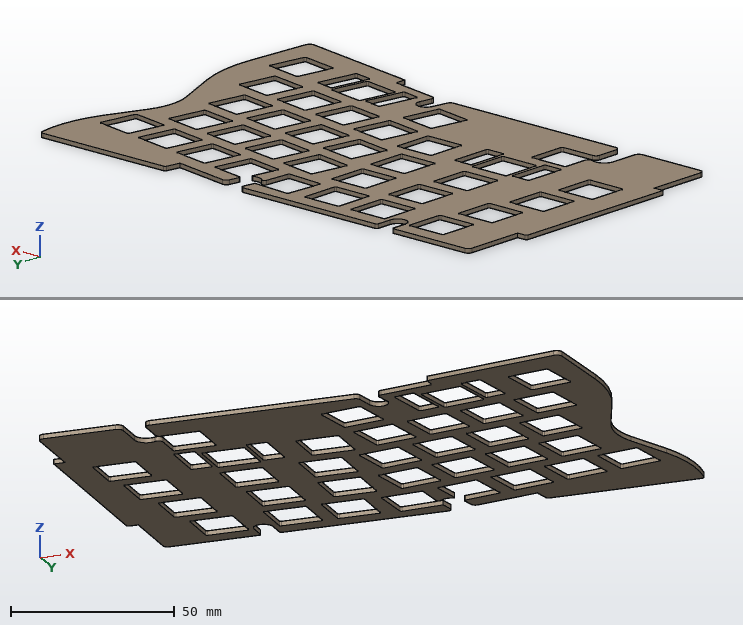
import cadquery as cq
import math


width = 182.7
depth = 122.5
thickness = 1.5
side_tab_depth = 3.7
side_tab_bottom = 38.2
side_tab_top = 100.1
straight_bottom = 15.3

key_row_span = 76.4
pitch = key_row_span / 4
key_size = 14.0
half_key = key_size / 2
key_corner = 0.5
stabilizer_width = 7.0
stabilizer_height = 15.0
stabilizer_offset = 11.9
stabilizer_drop = 1.6

top_row_y = 109.6
straight_rows = [
    [26.5, 50.6, 69.6],
    [23.5, 52.5, 75.8],
    [19.7, 51.2, 77.1],
    [17.0, 52.6, 83.5],
]
open_straight_key = (45.5, top_row_y - 4 * pitch)
straight_stabilized_key = (straight_rows[3][1], top_row_y - 3 * pitch)

leaning_key = (89.4, 110.0)
leaning_angle = -4.0

tilt = -10.0
tilt_origin = (109.3, 106.9)
tilted_rows = [
    [1, 2, 3],
    [-0.5, 0.5, 1.5, 2.5],
    [-0.25, 0.75, 1.75, 2.75],
    [0.25, 1.25, 2.25, 3.25],
    [0.25, 2.125, 3.75],
]
tilted_stabilized_key = (tilted_rows[4][1] * pitch, -4 * pitch)
tilted_arm_top = 13.0
tilted_step_u = 16.6
tilted_upper_bottom = -89.4
tilted_lower_bottom = -93.2
bottom_step_x = 134.1

flank_angle = 22.5
lower_bulge_center = (131.5, 29.0)
lower_bulge_radius = width - lower_bulge_center[0]
lower_bulge_start_angle = -4.5
hollow_center = (192.2, 73.8)
hollow_radius = 22.0
upper_bulge_center = (137.6, 113.3)
upper_bulge_radius = 43.9

narrow_notch = 6.2
wide_notch = 7.5
top_notch_x = 38.4
top_notch_end = 113.3
upper_hook_u = -9.9
upper_hook_end = 3.0
post_top = 3.3
bottom_notch_u = 18.3
bottom_notch_end = -80.2
notch_overrun = 14.6

outer_corner = 1.5
wide_corner = 1.8
small_corner = 0.7


def from_local(origin, degrees, u, v):
    """Plate position of a point given in axes turned about an origin."""
    angle = math.radians(degrees)
    x = origin[0] + u * math.cos(angle) - v * math.sin(angle)
    y = origin[1] + u * math.sin(angle) + v * math.cos(angle)
    return (x, y)


def tilted(u, v):
    """Plate position of a point given in the tilted block's own axes."""
    return from_local(tilt_origin, tilt, u, v)


def row_at_x(x, v):
    """Point at a given X on the tilted line of constant v."""
    angle = math.radians(tilt)
    u = (x - tilt_origin[0] + v * math.sin(angle)) / math.cos(angle)
    return tilted(u, v)


def column_at_y(u, y):
    """Point at a given Y on the tilted line of constant u."""
    angle = math.radians(tilt)
    v = (y - tilt_origin[1] - u * math.sin(angle)) / math.cos(angle)
    return tilted(u, v)


def on_circle(center, radius, degrees):
    angle = math.radians(degrees)
    return (center[0] + radius * math.cos(angle), center[1] + radius * math.sin(angle))


def placed(tool, position, angle):
    return tool.rotate((0, 0, 0), (0, 0, 1), angle).translate((position[0], position[1], 0))


def opening(position, angle, size_x, size_y):
    box = cq.Workplane("XY").rect(size_x, size_y).extrude(thickness)
    return placed(box.edges("|Z").fillet(key_corner), position, angle)


def open_key(position, angle, kept_corners):
    """Key that a notch opens: only the corners listed as (side along X, side along Y) are rounded."""
    box = cq.Workplane("XY").rect(key_size, key_size).extrude(thickness)
    for side_x, side_y in kept_corners:
        corner = (side_x * half_key, side_y * half_key, thickness / 2)
        box = box.edges("|Z").edges(cq.NearestToPointSelector(corner)).fillet(key_corner)
    return placed(box, position, angle)


def notch(position, angle, notch_width):
    """Round-ended notch whose closed end is at the position and which opens downward."""
    radius = notch_width / 2
    tool = (
        cq.Workplane("XY")
        .moveTo(-radius, -notch_overrun)
        .lineTo(-radius, -radius)
        .threePointArc((0, 0), (radius, -radius))
        .lineTo(radius, -notch_overrun)
        .close()
        .extrude(thickness)
    )
    return placed(tool, position, angle)


upper_bulge_end_angle = math.degrees(math.asin((depth - upper_bulge_center[1]) / upper_bulge_radius))
lower_bulge_start = on_circle(lower_bulge_center, lower_bulge_radius, lower_bulge_start_angle)
lower_bulge_slope = math.tan(math.radians(lower_bulge_start_angle))
top_right = on_circle(upper_bulge_center, upper_bulge_radius, upper_bulge_end_angle)
bottom_right_x = lower_bulge_start[0] + lower_bulge_start[1] * lower_bulge_slope
bottom_right = row_at_x(bottom_right_x, tilted_lower_bottom)
step_bottom = row_at_x(bottom_step_x, tilted_lower_bottom)
step_top = row_at_x(bottom_step_x, tilted_upper_bottom)
bottom_bend_end = tilted(bottom_notch_u, tilted_upper_bottom)
bottom_bend_start = (bottom_bend_end[0], straight_bottom)
arm_inner = tilted(tilted_step_u, tilted_arm_top)
arm_outer = tilted(upper_hook_u, tilted_arm_top)
arm_step_top = column_at_y(tilted_step_u, depth)
hook_top = (arm_outer[0], depth)

plate = (
    cq.Workplane("XY")
    .moveTo(side_tab_depth, straight_bottom)
    .lineTo(*bottom_bend_start)
    .lineTo(*bottom_bend_end)
    .lineTo(*step_top)
    .lineTo(*step_bottom)
    .lineTo(*bottom_right)
    .lineTo(*lower_bulge_start)
    .threePointArc(
        on_circle(lower_bulge_center, lower_bulge_radius, 0),
        on_circle(lower_bulge_center, lower_bulge_radius, flank_angle),
    )
    .lineTo(*on_circle(hollow_center, hollow_radius, 180 + flank_angle))
    .threePointArc(
        on_circle(hollow_center, hollow_radius, 180),
        on_circle(hollow_center, hollow_radius, 180 - flank_angle),
    )
    .lineTo(*on_circle(upper_bulge_center, upper_bulge_radius, -flank_angle))
    .threePointArc(on_circle(upper_bulge_center, upper_bulge_radius, 0), top_right)
    .lineTo(*arm_step_top)
    .lineTo(*arm_inner)
    .lineTo(*arm_outer)
    .lineTo(*hook_top)
    .lineTo(side_tab_depth, depth)
    .lineTo(side_tab_depth, side_tab_top)
    .lineTo(0, side_tab_top)
    .lineTo(0, side_tab_bottom)
    .lineTo(side_tab_depth, side_tab_bottom)
    .close()
    .extrude(thickness)
)

for row, positions in enumerate(straight_rows):
    for key_x in positions:
        plate = plate.cut(opening((key_x, top_row_y - row * pitch), 0, key_size, key_size))
for row, positions in enumerate(tilted_rows):
    for key_u in positions:
        plate = plate.cut(opening(tilted(key_u * pitch, -row * pitch), tilt, key_size, key_size))
plate = plate.cut(open_key(open_straight_key, 0, [(-1, 1), (1, 1), (1, -1)]))
plate = plate.cut(open_key(leaning_key, leaning_angle, [(-1, 1), (-1, -1), (1, -1)]))
plate = plate.cut(open_key(tilt_origin, tilt, [(-1, -1), (1, -1), (1, 1)]))

for side in (-1, 1):
    straight_slot = (
        straight_stabilized_key[0] + side * stabilizer_offset,
        straight_stabilized_key[1] - stabilizer_drop,
    )
    tilted_slot = tilted(
        tilted_stabilized_key[0] + side * stabilizer_offset,
        tilted_stabilized_key[1] - stabilizer_drop,
    )
    plate = plate.cut(opening(straight_slot, 0, stabilizer_width, stabilizer_height))
    plate = plate.cut(opening(tilted_slot, tilt, stabilizer_width, stabilizer_height))

plate = plate.cut(notch((top_notch_x, top_notch_end), 180, narrow_notch))
plate = plate.cut(notch(tilted(upper_hook_u, upper_hook_end), 180 + tilt, wide_notch))
plate = plate.cut(notch(tilted(bottom_notch_u, bottom_notch_end), tilt, narrow_notch))

post_gap = cq.Workplane("XY").rect(wide_notch, half_key - post_top).extrude(thickness)
post_gap = post_gap.translate((half_key, (half_key + post_top) / 2, 0))
plate = plate.cut(placed(post_gap, leaning_key, leaning_angle))

hook_right = open_straight_key[0] - half_key
hook_radius = wide_notch / 2
hook_center = (hook_right - hook_radius, open_straight_key[1] - half_key + key_corner)
lip_center_x = hook_right - outer_corner
lip_distance = hook_radius + outer_corner
lip_rise = math.sqrt(lip_distance**2 - (lip_center_x - hook_center[0]) ** 2)
lip_center = (lip_center_x, hook_center[1] + lip_rise)
lip_angle = math.degrees(math.atan2(lip_rise, lip_center_x - hook_center[0]))
lower_hook = (
    cq.Workplane("XY")
    .moveTo(hook_right - wide_notch, straight_bottom)
    .lineTo(hook_right - wide_notch, hook_center[1])
    .threePointArc(
        on_circle(hook_center, hook_radius, (180 + lip_angle) / 2),
        on_circle(hook_center, hook_radius, lip_angle),
    )
    .threePointArc(
        on_circle(lip_center, outer_corner, (lip_angle - 180) / 2),
        (hook_right, lip_center[1]),
    )
    .lineTo(hook_right, straight_bottom)
    .close()
    .extrude(thickness)
)
plate = plate.cut(lower_hook)

hook_left_u = upper_hook_u - hook_radius
hook_right_u = upper_hook_u + hook_radius
narrow_radius = narrow_notch / 2
bottom_notch_left = bottom_notch_u - narrow_radius
bottom_notch_right = bottom_notch_u + narrow_radius
post_corner = from_local(leaning_key, leaning_angle, half_key, post_top)
rounded_corners = [
    ((side_tab_depth, straight_bottom), wide_corner),
    ((hook_right - wide_notch, straight_bottom), wide_corner),
    ((hook_right, straight_bottom), wide_corner),
    ((hook_right, open_straight_key[1] - half_key), outer_corner),
    ((side_tab_depth, depth), outer_corner),
    ((0, side_tab_top), small_corner),
    ((top_notch_x - narrow_radius, depth), small_corner),
    ((top_notch_x + narrow_radius, depth), small_corner),
    (column_at_y(hook_left_u, depth), outer_corner),
    (tilted(hook_right_u, tilted_arm_top), outer_corner),
    (tilted(hook_right_u, half_key), small_corner),
    (post_corner, small_corner),
    (tilted(-half_key, half_key - hook_radius), key_corner),
    (arm_step_top, small_corner),
    (top_right, outer_corner),
    (bottom_right, wide_corner),
    (step_top, small_corner),
    (column_at_y(bottom_notch_left, straight_bottom), outer_corner),
    (tilted(bottom_notch_right, tilted_upper_bottom), outer_corner),
]
for (corner_x, corner_y), radius in rounded_corners:
    corner = (corner_x, corner_y, thickness / 2)
    plate = plate.edges("|Z").edges(cq.NearestToPointSelector(corner)).fillet(radius)

result = plate